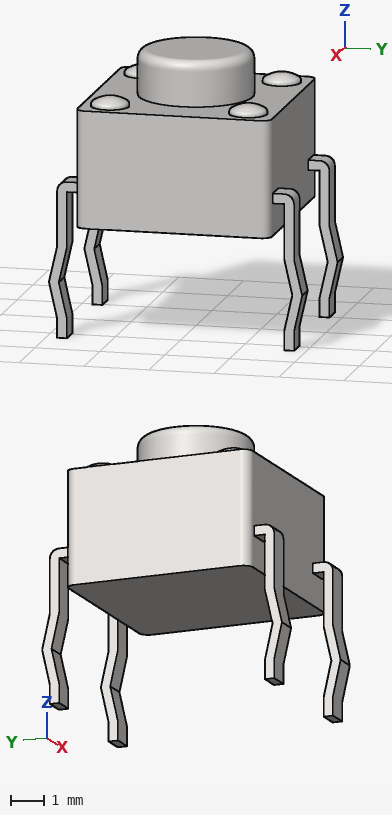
import cadquery as cq
import math

body_width = 5.99
body_height = 3.62
body_corner_radius = 0.3

button_diameter = 3.51
button_height = 1.395
button_edge_radius = 0.3

rivet_spacing = 4.255
rivet_diameter = 1.16
rivet_height = 0.3
rivet_crown_radius = 0.98
rivet_edge_radius = 0.14

leg_spacing = 4.49
leg_width = 0.715
leg_thickness = 0.31
leg_bend_radius = 0.3
leg_span = 7.3
leg_span_at_bulge = 7.8
leg_upper_kink = 2.81
leg_bulge_height = 1.71
leg_lower_kink = 0.595
leg_top = 4.81
overall_height = 8.51

body_top = overall_height - button_height
body_bottom = body_top - body_height


def make_body():
    return (
        cq.Workplane("XY")
        .workplane(offset=body_bottom)
        .rect(body_width, body_width)
        .extrude(body_height)
        .edges("|Z")
        .fillet(body_corner_radius)
    )


def make_button():
    return (
        cq.Workplane("XY")
        .workplane(offset=body_top)
        .circle(button_diameter / 2)
        .extrude(button_height)
        .faces(">Z")
        .edges()
        .fillet(button_edge_radius)
    )


def make_rivet():
    """Low domed head, centred on the Z axis and seated on the body.

    A rounded edge runs tangent from the short cylindrical rim into the spherical crown.
    """
    rim_radius = rivet_diameter / 2
    crown_center_z = rivet_height - rivet_crown_radius

    edge_center_r = rim_radius - rivet_edge_radius
    center_distance = rivet_crown_radius - rivet_edge_radius
    edge_center_rise = math.sqrt(center_distance**2 - edge_center_r**2)
    rim_height = crown_center_z + edge_center_rise
    shoulder_radius = edge_center_r * rivet_crown_radius / center_distance
    shoulder_height = crown_center_z + edge_center_rise * rivet_crown_radius / center_distance

    return (
        cq.Workplane("XZ")
        .moveTo(0, 0)
        .lineTo(rim_radius, 0)
        .lineTo(rim_radius, rim_height)
        .radiusArc((shoulder_radius, shoulder_height), -rivet_edge_radius)
        .radiusArc((0, rivet_height), -rivet_crown_radius)
        .close()
        .revolve(360, (0, 0, 0), (0, 1, 0))
        .translate((0, 0, body_top))
    )


def make_leg():
    """Leg on the +Y side, centred on X = 0."""
    wall = body_width / 2
    outer = leg_span / 2
    inner = outer - leg_thickness
    bulge = (leg_span_at_bulge - leg_span) / 2
    return (
        cq.Workplane("YZ")
        .moveTo(wall, leg_top)
        .lineTo(outer - leg_bend_radius, leg_top)
        .radiusArc((outer, leg_top - leg_bend_radius), leg_bend_radius)
        .lineTo(outer, leg_upper_kink)
        .lineTo(outer + bulge, leg_bulge_height)
        .lineTo(outer, leg_lower_kink)
        .lineTo(outer, 0)
        .lineTo(inner, 0)
        .lineTo(inner, leg_lower_kink)
        .lineTo(inner + bulge, leg_bulge_height)
        .lineTo(inner, leg_upper_kink)
        .lineTo(inner, leg_top - leg_thickness)
        .lineTo(wall, leg_top - leg_thickness)
        .close()
        .extrude(leg_width / 2, both=True)
    )


result = make_body().union(make_button())

rivet = make_rivet()
leg = make_leg()
opposite_leg = leg.mirror("XZ")
for x_side in (-1, 1):
    leg_x = x_side * leg_spacing / 2
    result = result.union(leg.translate((leg_x, 0, 0)))
    result = result.union(opposite_leg.translate((leg_x, 0, 0)))
    for y_side in (-1, 1):
        rivet_place = (x_side * rivet_spacing / 2, y_side * rivet_spacing / 2, 0)
        result = result.union(rivet.translate(rivet_place))